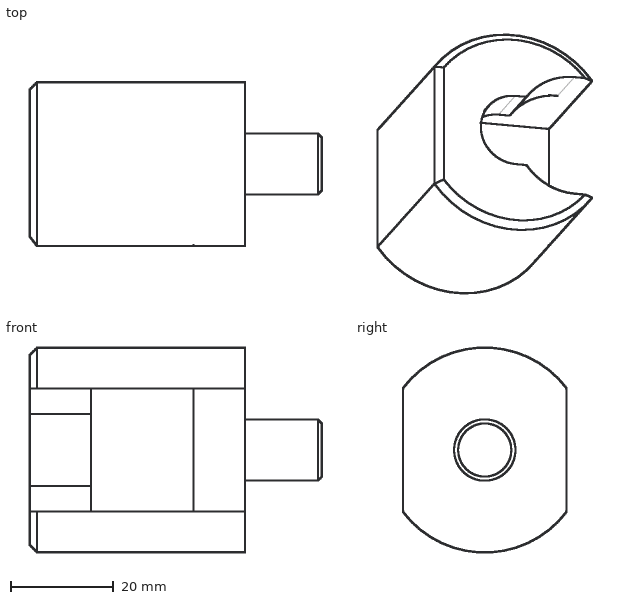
import cadquery as cq

total_length = 57.0
stud_length = 15.0
body_length = total_length - stud_length
body_diameter = 40.0
body_width = 32.0
body_chamfer = 1.5
stud_diameter = 11.95
stud_chamfer = 0.8

pocket_end = 32.0
pocket_radius = 11.95
lip_thickness = 11.95
neck_radius = 7.0
mouth_center_y = -pocket_radius


def make_body():
    """Round bar with two flats, with the open end chamfered all round."""
    bar = cq.Workplane("YZ").circle(body_diameter / 2).extrude(body_length)
    flats = cq.Workplane("YZ").rect(body_width, body_diameter).extrude(body_length)
    return bar.intersect(flats).faces("<X").chamfer(body_chamfer)


def make_stud():
    """Plain stud on the closed end."""
    stud = cq.Workplane("YZ", origin=(body_length, 0, 0)).circle(stud_diameter / 2).extrude(stud_length)
    return stud.faces(">X").chamfer(stud_chamfer)


def make_slot(radius, center_y, start, end):
    """Round-bottomed slot from x = start to x = end, running out through the -Y side."""
    plane = cq.Workplane("YZ", origin=(start, center_y, 0))
    opening_length = center_y + body_width / 2
    bore = plane.circle(radius).extrude(end - start)
    opening = plane.center(-opening_length / 2, 0).rect(opening_length, 2 * radius).extrude(end - start)
    return bore.union(opening)


neck = make_slot(neck_radius, 0, 0, lip_thickness)
mouth = make_slot(pocket_radius, mouth_center_y, 0, lip_thickness)
pocket = make_slot(pocket_radius, 0, lip_thickness, pocket_end)

result = make_body().union(make_stud()).cut(neck).cut(mouth).cut(pocket)